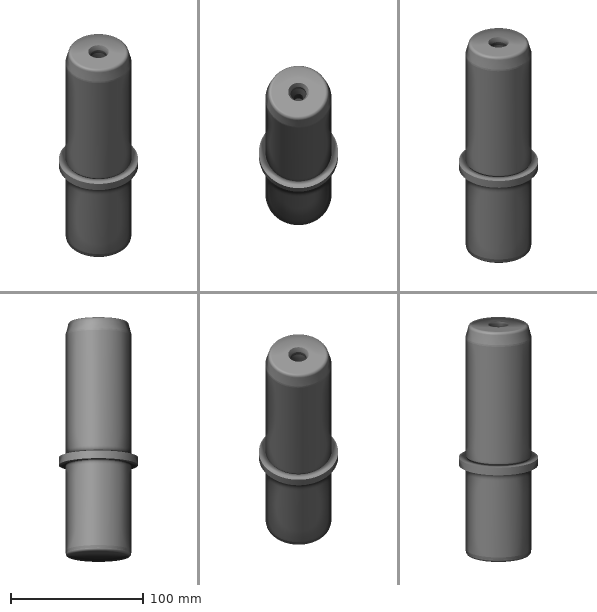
import cadquery as cq
import math

length = 180.0
shaft_radius = 25.0
collar_diameter = 60.0

collar_bottom = 70.0
collar_top = 76.0
upper_neck_height = 1.5
lower_neck_height = 0.9
lower_neck_radius = 24.5
upper_neck_radius = 24.1

lead_height = 4.1
lead_radius = 24.7
lead_edge_height = 2.2
bottom_fillet = 2.0

nose_height = 9.9
nose_angle = 15.0
tip_fillet = 2.5
shoulder_fillet = 5.0
nose_top_radius = shaft_radius - nose_height * math.tan(math.radians(nose_angle))

countersink_radius = 7.7
countersink_depth = 3.2
bore_depth = 6.0
bore_radius = 6.0
pilot_radius = 3.5
cone_half_angle = 30.0
pilot_depth = 18.0
cone_depth = (bore_radius - pilot_radius) / math.tan(math.radians(cone_half_angle))


def revolve_profile(points):
    """Turn a closed (radius, height) outline around the Z axis."""
    return cq.Workplane("XZ").polyline(points).close().revolve(360, (0, 0, 0), (0, 1, 0))


def edges_at_height(height):
    margin = 0.02
    return cq.selectors.BoxSelector(
        (-length, -length, height - margin), (length, length, height + margin)
    )


def make_lower_shaft():
    shaft = revolve_profile([
        (0, 0),
        (lead_radius, 0),
        (lead_radius, lead_edge_height),
        (shaft_radius, lead_height),
        (shaft_radius, collar_bottom - lower_neck_height),
        (lower_neck_radius, collar_bottom - lower_neck_height),
        (lower_neck_radius, collar_bottom),
        (0, collar_bottom),
    ])
    return shaft.faces("<Z").edges().fillet(bottom_fillet)


def make_upper_shaft():
    nose_base = length - nose_height
    shaft = revolve_profile([
        (0, collar_top),
        (upper_neck_radius, collar_top),
        (shaft_radius, collar_top + upper_neck_height),
        (shaft_radius, nose_base),
        (nose_top_radius, length),
        (0, length),
    ])
    shaft = shaft.edges(edges_at_height(nose_base)).fillet(shoulder_fillet)
    return shaft.faces(">Z").edges().fillet(tip_fillet)


def make_collar():
    collar = cq.Workplane("XY").workplane(offset=collar_bottom)
    return collar.circle(collar_diameter / 2).extrude(collar_top - collar_bottom)


def make_centre_hole():
    return revolve_profile([
        (0, length),
        (countersink_radius, length),
        (bore_radius, length - countersink_depth),
        (bore_radius, length - bore_depth),
        (pilot_radius, length - bore_depth - cone_depth),
        (pilot_radius, length - pilot_depth),
        (0, length - pilot_depth),
    ])


result = make_collar().union(make_lower_shaft()).union(make_upper_shaft()).cut(make_centre_hole())